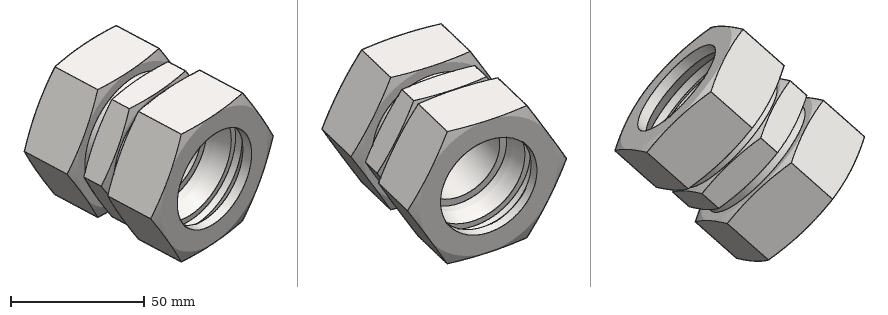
import cadquery as cq
import math

TOTAL_LENGTH = 66.0
NUT_LENGTH = 24.05
BODY_HEX_WIDTH = 11.0

NUT_ACROSS_FLATS = 60.0
BODY_ACROSS_FLATS = 55.0
HEX_CHAMFER_ANGLE = 15

TUBE_DIAMETER = 42.0
PASSAGE_DIAMETER = 36
THREAD_DIAMETER = 52.0
NUT_CAVITY_DIAMETER = 49.8

BODY_HALF_LENGTH = 21.5
TUBE_STOP_POSITION = 10.5
SOCKET_TAPER_POSITION = 14.4

NUT_LIP_LENGTH = 4.35
NUT_SEAT_ANGLE = 45
SOCKET_TAPER_ANGLE = 12

NUT_OUTER_END = TOTAL_LENGTH / 2
NUT_INNER_END = NUT_OUTER_END - NUT_LENGTH


def revolve_about_x(profile):
    """Turn a closed list of (x, radius) points about the X axis."""
    return cq.Workplane("XY").polyline(profile).close().revolve(360, (0, 0, 0), (1, 0, 0))


def chamfered_hexagon(across_flats, x_start, x_end):
    """Hexagonal prism along X, corners on +-Y, with both ends turned to a shallow cone."""
    corner_radius = across_flats / math.sqrt(3)
    flat_radius = across_flats / 2
    corner_setback = (corner_radius - flat_radius) * math.tan(math.radians(HEX_CHAMFER_ANGLE))
    prism = (
        cq.Workplane("YZ", origin=(x_start, 0, 0))
        .polygon(6, 2 * corner_radius)
        .extrude(x_end - x_start)
    )
    envelope = revolve_about_x([
        (x_start, 0),
        (x_start, flat_radius),
        (x_start + corner_setback, corner_radius),
        (x_end - corner_setback, corner_radius),
        (x_end, flat_radius),
        (x_end, 0),
    ])
    return prism.intersect(envelope)


def make_body():
    """Coupling body: central hexagon, a threaded end on each side and a stepped bore."""
    hexagon = chamfered_hexagon(BODY_ACROSS_FLATS, -BODY_HEX_WIDTH / 2, BODY_HEX_WIDTH / 2)
    threaded_ends = (
        cq.Workplane("YZ")
        .circle(THREAD_DIAMETER / 2)
        .extrude(BODY_HALF_LENGTH, both=True)
    )
    tube_radius = TUBE_DIAMETER / 2
    taper_length = BODY_HALF_LENGTH - SOCKET_TAPER_POSITION
    mouth_radius = tube_radius + taper_length * math.tan(math.radians(SOCKET_TAPER_ANGLE))
    socket = revolve_about_x([
        (-BODY_HALF_LENGTH, 0),
        (-BODY_HALF_LENGTH, mouth_radius),
        (-SOCKET_TAPER_POSITION, tube_radius),
        (-TUBE_STOP_POSITION, tube_radius),
        (-TUBE_STOP_POSITION, 0),
    ])
    passage = (
        cq.Workplane("YZ")
        .circle(PASSAGE_DIAMETER / 2)
        .extrude(BODY_HALF_LENGTH, both=True)
    )
    return hexagon.union(threaded_ends).cut(passage).cut(socket).cut(socket.mirror("YZ"))


def make_nut(side):
    """Union nut on one end of the body; side is -1 for the -X end and +1 for the +X end."""
    blank = chamfered_hexagon(NUT_ACROSS_FLATS, NUT_INNER_END, NUT_OUTER_END)
    tube_radius = TUBE_DIAMETER / 2
    cavity_radius = NUT_CAVITY_DIAMETER / 2
    thread_radius = THREAD_DIAMETER / 2
    lip_end = NUT_OUTER_END - NUT_LIP_LENGTH
    seat_end = lip_end - (cavity_radius - tube_radius) * math.tan(math.radians(NUT_SEAT_ANGLE))
    bore = revolve_about_x([
        (NUT_INNER_END, 0),
        (NUT_INNER_END, thread_radius),
        (BODY_HALF_LENGTH, thread_radius),
        (BODY_HALF_LENGTH, cavity_radius),
        (seat_end, cavity_radius),
        (lip_end, tube_radius),
        (NUT_OUTER_END, tube_radius),
        (NUT_OUTER_END, 0),
    ])
    nut = blank.cut(bore)
    return nut if side > 0 else nut.mirror("YZ")


body = make_body()
nuts = [make_nut(side) for side in (-1, 1)]

result = cq.Compound.makeCompound([body.val(), *[nut.val() for nut in nuts]])